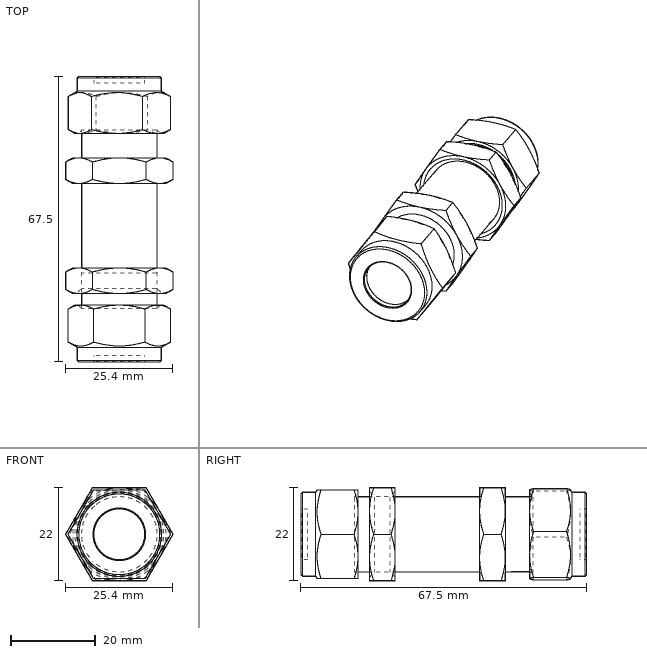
import cadquery as cq
import math

length = 67.5
end_to_nut = 3.5
end_to_shoulder = 13.5

barrel_diameter = 17.8

nut_flats = 21.0
collar_diameter = 19.9
collar_chamfer = 0.4
rear_nut_turn = -3.0

socket_diameter = 12.0
socket_depth = 1.55
socket_chamfer = 0.2

hex_flats = 22.0
hex_thickness = 6.1
jam_nut_from_front = 16.2
fixed_hex_from_front = 42.2

bevel_angle = 30.0

nut_countersink_width = 0.8
nut_countersink_depth = 0.8
jam_countersink_width = 1.2
jam_countersink_depth = 1.2

front_end = -length / 2
nut_length = end_to_shoulder - end_to_nut


def cylinder(diameter, start, height):
    """Solid cylinder along +Y, beginning at Y = start."""
    plane = cq.Workplane("XZ", origin=(0, start, 0))
    return plane.circle(diameter / 2).extrude(-height)


def bevelled_hex(flats, start, thickness, start_radius, end_radius):
    """Hexagon along +Y with flats facing up and down and conical bevels on its corners.

    The two radii are those of the flat end faces that the bevels leave.
    """
    corner_radius = flats / math.sqrt(3)
    slope = math.tan(math.radians(bevel_angle))
    end = start + thickness
    plane = cq.Workplane("XZ", origin=(0, start, 0))
    prism = plane.polygon(6, 2 * corner_radius).extrude(-thickness)
    envelope = (
        cq.Workplane("XY")
        .moveTo(0, start)
        .lineTo(start_radius, start)
        .lineTo(corner_radius, start + (corner_radius - start_radius) * slope)
        .lineTo(corner_radius, end - (corner_radius - end_radius) * slope)
        .lineTo(end_radius, end)
        .lineTo(0, end)
        .close()
        .revolve(360, (0, 0, 0), (0, 1, 0))
    )
    return prism.intersect(envelope)


def countersink(bore_diameter, face, width, depth):
    """Ring cutter for a countersink around a bore, on the end face at Y = face.

    A positive depth goes in toward +Y and a negative one toward -Y.
    """
    inner = bore_diameter / 2
    return (
        cq.Workplane("XY")
        .moveTo(inner, face)
        .lineTo(inner + width, face)
        .lineTo(inner, face + depth)
        .close()
        .revolve(360, (0, 0, 0), (0, 1, 0))
    )


def make_end_nut():
    """Nut with its collar and socket at the front end."""
    nut = bevelled_hex(
        nut_flats, front_end + end_to_nut, nut_length, collar_diameter / 2, nut_flats / 2
    )
    collar = cylinder(collar_diameter, front_end, end_to_shoulder / 2)
    collar = collar.faces("<Y").chamfer(collar_chamfer)
    nut = nut.union(collar)
    nut = nut.cut(cylinder(socket_diameter, front_end, socket_depth))
    nut = nut.cut(countersink(socket_diameter, front_end, socket_chamfer, socket_chamfer))
    shoulder = front_end + end_to_shoulder
    return nut.cut(countersink(barrel_diameter, shoulder, nut_countersink_width, -nut_countersink_depth))


def make_fitting():
    """Barrel with the fixed hexagon and both end nuts, all in one piece."""
    barrel = cylinder(barrel_diameter, front_end + end_to_shoulder / 2, length - end_to_shoulder)
    fixed_hex = bevelled_hex(
        hex_flats, front_end + fixed_hex_from_front, hex_thickness, hex_flats / 2, hex_flats / 2
    )
    front_nut = make_end_nut()
    rear_nut = front_nut.mirror("XZ").rotate((0, 0, 0), (0, 1, 0), rear_nut_turn)
    return barrel.union(fixed_hex).union(front_nut).union(rear_nut)


def make_jam_nut():
    """Loose hexagon nut around the barrel, countersunk on both faces."""
    start = front_end + jam_nut_from_front
    nut = bevelled_hex(hex_flats, start, hex_thickness, hex_flats / 2, hex_flats / 2)
    nut = nut.cut(cylinder(barrel_diameter, start, hex_thickness))
    for face, depth in ((start, jam_countersink_depth), (start + hex_thickness, -jam_countersink_depth)):
        nut = nut.cut(countersink(barrel_diameter, face, jam_countersink_width, depth))
    return nut


fitting = make_fitting()
jam_nut = make_jam_nut()

result = cq.Compound.makeCompound([fitting.val(), jam_nut.val()])